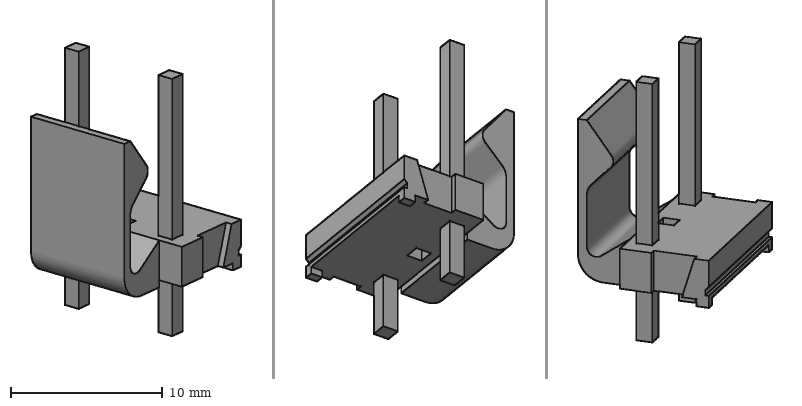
import cadquery as cq


block_width = 11.72
block_depth = 6.3
block_height = 2.83

foot_width = 0.64
foot_depth = 0.88
foot_height = 0.51

groove_depth = 0.24
groove_bottom = 0.35
groove_top = 0.97

recess_depth = 0.45
recess_front = 2.23
recess_back_bottom = 4.39
recess_back_top = 5.27

pin_size = 1.15
pin_length = 18.29
pin_spacing = 7.9
pin_tail = 4.05
pin_row_y = 1.2
middle_hole_width = 1.1

latch_width = pin_spacing
latch_reach = 3.71
latch_thickness = 0.64
latch_top = 10.83
latch_bottom = -foot_height
outer_bend_radius = 1.8
inner_bend_radius = 0.64
valley_z = 0.64
nose_projection = 2.1
nose_z = 8.08
nose_radius = 0.71
nose_root_z = nose_z - nose_projection
nose_root_radius = 1.0


def extrude_across(points, width, center_x=0):
    """Extrude a (Y, Z) outline along X, centred on center_x."""
    return (
        cq.Workplane("YZ", origin=(center_x - width / 2, 0, 0))
        .polyline(points)
        .close()
        .extrude(width)
    )


def square_bar(width_x, z_bottom, length, center_x):
    """Upright bar on the pin row, used for pins and the holes."""
    return (
        cq.Workplane("XY", origin=(center_x, pin_row_y, z_bottom))
        .rect(width_x, pin_size)
        .extrude(length)
    )


def make_block():
    block = cq.Workplane("XY").box(
        block_width, block_depth, block_height, centered=(True, False, False)
    )
    for side in (-1, 1):
        foot = cq.Workplane("XY").box(
            foot_width, foot_depth, foot_height, centered=(True, False, False)
        )
        foot_x = side * (block_width - foot_width) / 2
        block = block.union(foot.translate((foot_x, block_depth - foot_depth, -foot_height)))

        recess_outline = [
            (recess_front, 0),
            (recess_back_bottom, 0),
            (recess_back_top, block_height),
            (recess_front, block_height),
        ]
        recess_x = side * (block_width - recess_depth) / 2
        block = block.cut(extrude_across(recess_outline, recess_depth, recess_x))

    groove_floor_y = block_depth - groove_depth
    groove_outline = [
        (block_depth, groove_bottom),
        (groove_floor_y, groove_bottom),
        (groove_floor_y, groove_top - groove_depth),
        (block_depth, groove_top),
    ]
    return block.cut(extrude_across(groove_outline, block_width))


def make_latch():
    front_y = -latch_reach
    inner_y = front_y + latch_thickness
    nose_y = inner_y + nose_projection
    latch = extrude_across(
        [
            (0, latch_bottom),
            (front_y, latch_bottom),
            (front_y, latch_top),
            (inner_y, latch_top),
            (nose_y, nose_z),
            (inner_y, nose_root_z),
            (inner_y, valley_z),
            (0, block_height),
        ],
        latch_width,
    )
    rounded_corners = [
        (front_y, latch_bottom, outer_bend_radius),
        (nose_y, nose_z, nose_radius),
        (inner_y, nose_root_z, nose_root_radius),
        (inner_y, valley_z, inner_bend_radius),
    ]
    for y, z, radius in rounded_corners:
        corner_edge = cq.selectors.NearestToPointSelector((0, y, z))
        latch = latch.edges("|X").edges(corner_edge).fillet(radius)
    return latch


def make_pin(center_x):
    return square_bar(pin_size, -pin_tail, pin_length, center_x)


pins = [make_pin(side * pin_spacing / 2) for side in (-1, 1)]

housing = make_block().union(make_latch())
housing = housing.cut(square_bar(middle_hole_width, 0, block_height, 0))
for pin in pins:
    housing = housing.cut(pin)

result = cq.Compound.makeCompound([housing.solids().val(), *[pin.val() for pin in pins]])